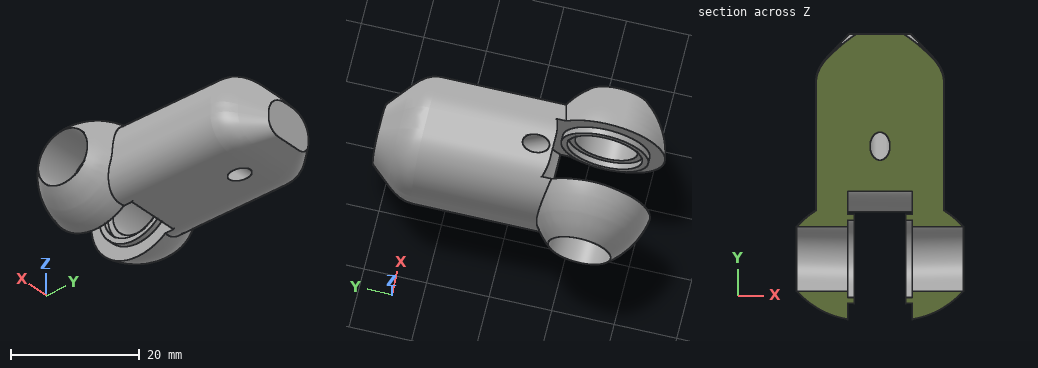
import cadquery as cq
import math


ear_outer_x = 12.995
slot_half_width = 5.0
ear_rim_radius = 9.4
pivot_radius = 5.0
ear_arc_radius = 13.35

boss_radius = 6.98
boss_height = 1.0
boss_bore_radius = 6.0

body_half_width = 10.0
body_half_height = 7.5
upper_corner_radius = 8.0
lower_corner_radius = 5.0
slot_floor_radius = 10.5

tip_y = 35.0
taper_length = 5.45
tip_scale = 0.48
tip_drop = 2.45
blend_half_length = 2.0
blend_sections = 5

hole_diameter = 3.0
hole_y = 10.05
hole_angle = 45


def section(y, taper):
    """Body section at y; taper runs from 0 (full size) to 1 (tip)."""
    scale = 1 - (1 - tip_scale) * taper
    width = body_half_width * scale
    height = body_half_height * scale
    upper = upper_corner_radius * scale
    lower = lower_corner_radius * scale
    upper_mid = upper * (1 - math.sqrt(0.5))
    lower_mid = lower * (1 - math.sqrt(0.5))
    plane = cq.Plane(origin=(0, y, -tip_drop * taper), xDir=(1, 0, 0), normal=(0, -1, 0))
    outline = (
        cq.Workplane(plane)
        .moveTo(upper - width, height)
        .lineTo(width - upper, height)
        .threePointArc((width - upper_mid, height - upper_mid), (width, height - upper))
        .lineTo(width, lower - height)
        .threePointArc((width - lower_mid, lower_mid - height), (width - lower, -height))
        .lineTo(lower - width, -height)
        .threePointArc((lower_mid - width, lower_mid - height), (-width, lower - height))
        .lineTo(-width, height - upper)
        .threePointArc((upper_mid - width, height - upper_mid), (upper - width, height))
        .close()
    )
    return outline.val()


def make_body():
    """Rounded prism, smooth shoulder and straight taper to the tip."""
    taper_start = tip_y - taper_length
    blend_start = taper_start - blend_half_length
    blend_end = taper_start + blend_half_length
    blend_taper = blend_half_length / taper_length

    def blend_section(index):
        position = index / (blend_sections - 1)
        return section(blend_start + 2 * blend_half_length * position, blend_taper * position**2)

    full = section(blend_start, 0)
    shoulder = [blend_section(index) for index in range(blend_sections)]
    tip = [section(blend_end, blend_taper), section(tip_y, 1)]
    prism = cq.Solid.extrudeLinear(full, [], cq.Vector(0, -blend_start, 0))
    body = cq.Workplane(prism)
    body = body.union(cq.Workplane(cq.Solid.makeLoft(shoulder)))
    return body.union(cq.Workplane(cq.Solid.makeLoft(tip, True)))


def x_cylinder(radius, x_start, x_end):
    return cq.Workplane("YZ", origin=(x_start, 0, 0)).circle(radius).extrude(x_end - x_start)


def make_ear():
    """Domed ear on the +X side, revolved about the pivot axis."""
    dome = (
        cq.Workplane("XY")
        .moveTo(slot_half_width, 0)
        .lineTo(slot_half_width, ear_rim_radius)
        .radiusArc((ear_outer_x, pivot_radius), ear_arc_radius)
        .lineTo(ear_outer_x, 0)
        .close()
    )
    return dome.revolve(360, (0, 0, 0), (1, 0, 0))


def make_boss():
    inner_x = slot_half_width - boss_height
    boss = x_cylinder(boss_radius, inner_x, slot_half_width)
    return boss.cut(x_cylinder(boss_bore_radius, inner_x, slot_half_width))


def make_slanted_hole():
    """Hole from the top of the body, sloping down and back through the bottom."""
    length = 4 * body_half_height
    angle = math.radians(hole_angle)
    direction = cq.Vector(0, math.sin(angle), -math.cos(angle))
    entry = cq.Vector(0, hole_y, body_half_height)
    start = entry - direction * hole_diameter
    return cq.Solid.makeCylinder(hole_diameter / 2, length, start, direction)


ear = make_ear()
boss = make_boss()

result = make_body().union(ear).union(ear.mirror("YZ"))
result = result.cut(x_cylinder(slot_floor_radius, -slot_half_width, slot_half_width))
result = result.cut(x_cylinder(pivot_radius, -ear_outer_x, ear_outer_x))
result = result.union(boss).union(boss.mirror("YZ"))
result = result.cut(make_slanted_hole())